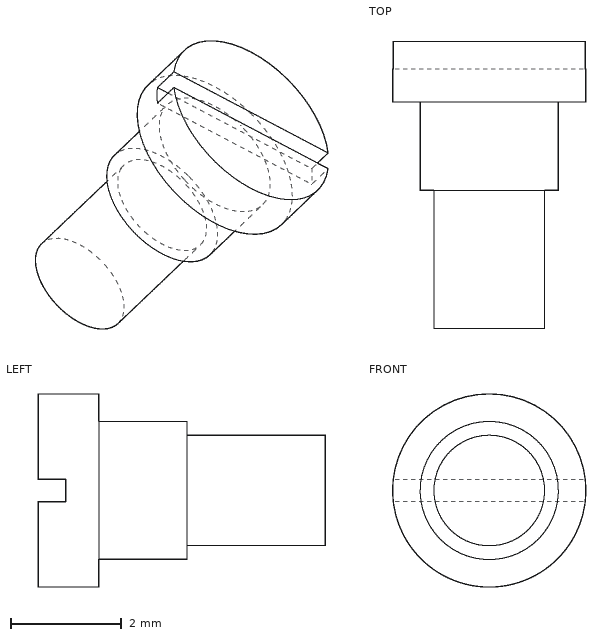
import cadquery as cq

total_length = 5.2
head_diameter = 3.5
head_length = 1.1
shoulder_diameter = 2.5
shoulder_length = 1.595
shaft_diameter = 2.0
shaft_length = total_length - head_length - shoulder_length

slot_width = 0.4
slot_depth = 0.5


def cylinder_along_y(diameter, start, length):
    """Solid cylinder on the Y axis, from Y = start to Y = start + length."""
    direction = cq.Vector(0, 1, 0)
    base = cq.Vector(0, start, 0)
    return cq.Workplane(cq.Solid.makeCylinder(diameter / 2, length, base, direction))


shaft = cylinder_along_y(shaft_diameter, 0, shaft_length)
shoulder = cylinder_along_y(shoulder_diameter, shaft_length, shoulder_length)
head = cylinder_along_y(head_diameter, shaft_length + shoulder_length, head_length)

slot = (
    cq.Workplane("XY")
    .box(head_diameter, slot_depth, slot_width)
    .translate((0, total_length - slot_depth / 2, 0))
)

result = shaft.union(shoulder).union(head).cut(slot)